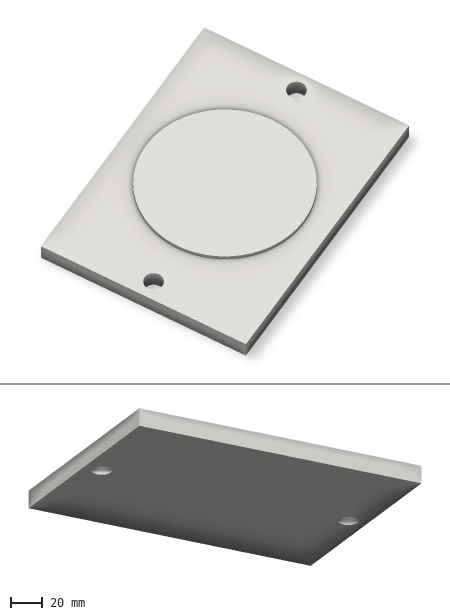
import cadquery as cq

plate_width = 150.0
plate_length = 200.0
total_height = 15.0

pad_diameter = 115.5
pad_height = 3.0
plate_thickness = total_height - pad_height

hole_diameter = 13.0
hole_spacing = 175.0

plate = cq.Workplane("XY").box(
    plate_width, plate_length, plate_thickness, centered=(True, True, False)
)

pad = (
    cq.Workplane("XY")
    .workplane(offset=plate_thickness)
    .circle(pad_diameter / 2)
    .extrude(pad_height)
)

holes = (
    cq.Workplane("XY")
    .pushPoints([(0, -hole_spacing / 2), (0, hole_spacing / 2)])
    .circle(hole_diameter / 2)
    .extrude(plate_thickness)
)

result = plate.union(pad).cut(holes)